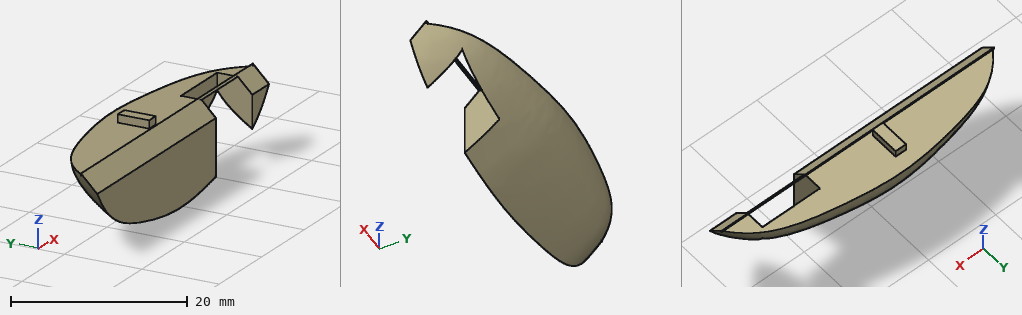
import cadquery as cq

length = 40.5
depth = 8.83
flat_height = 10.0
crest_x = 19.45

bevel_start_height = 8.15
bevel_width = flat_height - bevel_start_height

ridge_width = 0.25

hull_section = [(depth, flat_height), (depth, 5.55), (3.65, 2.05), (0.0, 0.0)]
fullness_exponent = 1.7

notch_start = 28.0
notch_end = 36.55
notch_depth = 4.55

tab_start = 16.95
tab_width = 1.55
tab_front = 2.6
tab_length = 4.05
tab_top = 11.0

stations = 40
section_points = 16


def fullness(x):
    """Hull size at x: zero at both ends and one at the crest."""
    half_length = crest_x if x < crest_x else length - crest_x
    parabola = 1 - ((x - crest_x) / half_length) ** 2
    return parabola * (1 + (1 - parabola) ** fullness_exponent)


def hull_point(x, t):
    """Point on the hull, from the top edge (t = 0) to the front face (t = 1)."""
    weights = [(1 - t) ** 3, 3 * t * (1 - t) ** 2, 3 * t**2 * (1 - t), t**3]
    full_y = sum(w * point[0] for w, point in zip(weights, hull_section))
    full_z = sum(w * point[1] for w, point in zip(weights, hull_section))
    bevel_y = bevel_width * (1 - t)
    bevel_z = bevel_start_height + bevel_y
    size = fullness(x)
    y = bevel_y + size * (full_y - bevel_y)
    z = bevel_z + size * (full_z - bevel_z)
    return cq.Vector(x, y, z)


def make_body():
    """Hull lofted across its length and closed by the top, bevel and front planes."""
    sections = []
    for i in range(stations + 1):
        x = length * i / stations
        sections.append([hull_point(x, j / section_points) for j in range(section_points + 1)])
    hull = cq.Face.makeSplineApprox(sections, tol=0.02, minDeg=3, maxDeg=5)

    edges = hull.Edges()
    top_edge = max(edges, key=lambda edge: edge.Center().z)
    front_edge = min(edges, key=lambda edge: edge.Center().z)

    def close(edge):
        return cq.Edge.makeLine(edge.endPoint(), edge.startPoint())

    top_line = close(top_edge)
    front_line = close(front_edge)
    end_edges = [e for e in edges if not (e.isSame(top_edge) or e.isSame(front_edge))]
    outlines = [[top_edge, top_line], [front_edge, front_line], [top_line, front_line, *end_edges]]
    planes = [cq.Face.makeFromWires(cq.Wire.assembleEdges(outline)) for outline in outlines]
    return cq.Workplane(cq.Solid.makeSolid(cq.Shell.makeShell([hull, *planes])).fix())


def make_ridge():
    """Triangular strip whose sloping side continues the bevel plane."""
    return (
        cq.Workplane("YZ")
        .moveTo(bevel_width, flat_height)
        .line(ridge_width, ridge_width)
        .line(0, -ridge_width)
        .close()
        .extrude(length)
    )


notch = cq.Workplane().box(notch_end - notch_start, notch_depth, flat_height, centered=False)
notch = notch.translate((notch_start, 0, 0))

tab = cq.Workplane().box(tab_width, tab_length, tab_top - flat_height, centered=False)
tab = tab.translate((tab_start, tab_front, flat_height))

result = make_body().cut(notch).union(make_ridge()).union(tab)